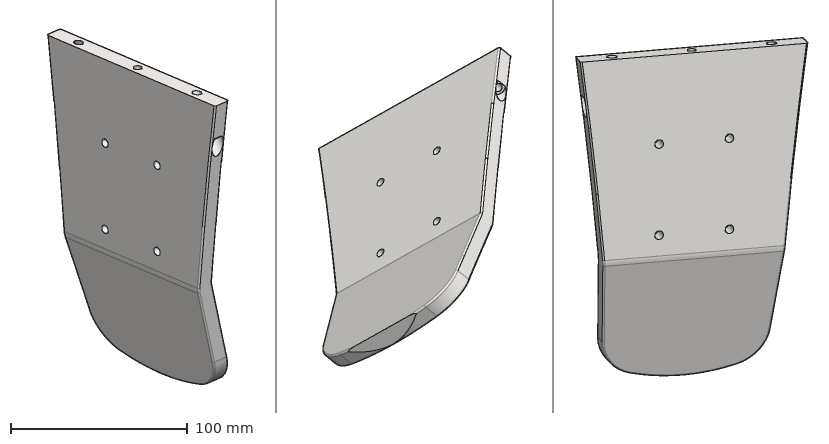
import cadquery as cq
import math

height = 198.8
thickness = 11.0
mid_thickness = thickness / 2
bend_height = 78.1
bend_angle = math.radians(17.4)
bend_radius = 12.0
end_overrun = 0.2
uncut_overrun = 6.0

top_width = 133.8
top_half_width = top_width / 2
mid_half_width = 53.5
mid_height = 77.5
corner_half_width = 48.3
bottom_radius = 115.3
corner_height = bottom_radius - math.sqrt(bottom_radius**2 - corner_half_width**2)
corner_radius = 24.8
rim_radius = 1.0

hole_diameter = 5.0
screw_offset = 20.7
screw_heights = (92.2, 146.3)
center_hole_depth = 23.9
slant_angle = math.radians(31.0)
slant_offset = 47.0
slant_depth = 28.0
counterbore_diameter = 8.7
counterbore_length = 19.9


def bent_strip(overrun):
    """Wide strip of constant thickness, cut square where its front face is `overrun` below Z = 0."""
    length = (bend_height + overrun) / math.cos(bend_angle)
    end_y = length * math.sin(bend_angle)
    back_end_y = end_y + thickness * math.cos(bend_angle)
    back_end_z = thickness * math.sin(bend_angle) - overrun
    back_bend_z = bend_height + thickness * math.tan(bend_angle / 2)
    strip = (
        cq.Workplane("YZ")
        .moveTo(0, height)
        .lineTo(0, bend_height)
        .lineTo(end_y, -overrun)
        .lineTo(back_end_y, back_end_z)
        .lineTo(thickness, back_bend_z)
        .lineTo(thickness, height)
        .close()
        .extrude(top_half_width, both=True)
    )
    front_bend = cq.selectors.NearestToPointSelector((0, 0, bend_height))
    return strip.edges(front_bend).fillet(bend_radius)


def outline():
    """Tapered outline with rounded lower corners, extruded along Y past both faces of the strip."""
    body = (
        cq.Workplane("XZ")
        .moveTo(-top_half_width, height)
        .lineTo(top_half_width, height)
        .threePointArc((mid_half_width, mid_height), (corner_half_width, corner_height))
        .threePointArc((0, 0), (-corner_half_width, corner_height))
        .threePointArc((-mid_half_width, mid_height), (-top_half_width, height))
        .close()
        .extrude(height, both=True)
    )
    return body.edges("|Y").edges("not >Z").fillet(corner_radius)


def bent_plate():
    """Plate with a rounded rim on both faces; the lower end is trimmed after rounding."""
    blank = bent_strip(uncut_overrun).intersect(outline())
    rounded = blank.edges("not(|X or |Y)").fillet(rim_radius)
    return rounded.intersect(bent_strip(end_overrun))


def rod(diameter, start, direction, length):
    return cq.Workplane(cq.Solid.makeCylinder(diameter / 2, length, start, direction))


def screw_holes():
    """Four through holes in the upright face."""
    points = [(x, z) for x in (-screw_offset, screw_offset) for z in screw_heights]
    return cq.Workplane("XZ").pushPoints(points).circle(hole_diameter / 2).extrude(-thickness)


def center_hole():
    """Blind hole straight down from the middle of the top end."""
    mouth = cq.Vector(0, mid_thickness, height)
    return rod(hole_diameter, mouth, cq.Vector(0, 0, -1), center_hole_depth)


def slanted_hole(side):
    """Hole sloping from the top end to a wider counterbore open at the side."""
    down = cq.Vector(side * math.sin(slant_angle), 0, -math.cos(slant_angle))
    mouth = cq.Vector(side * slant_offset, mid_thickness, height)
    lead = hole_diameter
    drill = rod(hole_diameter, mouth - down * lead, down, lead + slant_depth)
    counterbore = rod(counterbore_diameter, mouth + down * slant_depth, down, counterbore_length)
    return drill.union(counterbore)


result = bent_plate().cut(screw_holes()).cut(center_hole())
for side in (-1, 1):
    result = result.cut(slanted_hole(side))